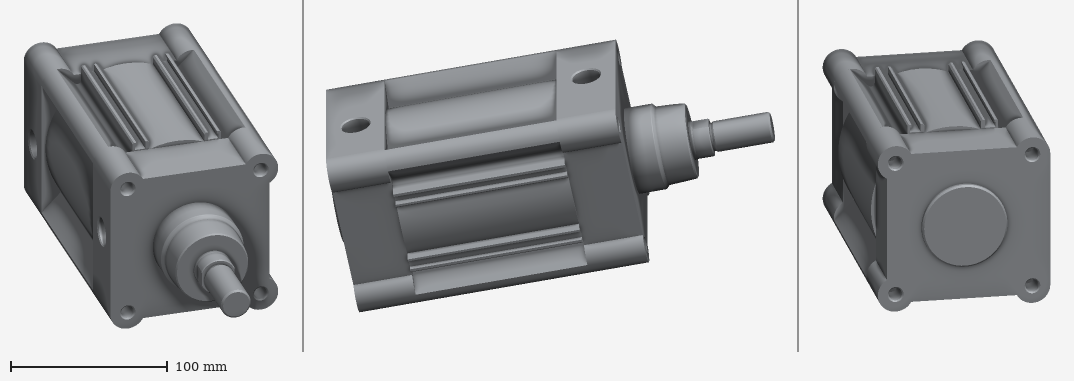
import cadquery as cq
import math

BOSS_HEIGHT = 3.7
CAP_LENGTH = 38.2
TUBE_LENGTH = 111.8
REAR_CAP_END = BOSS_HEIGHT + CAP_LENGTH
TUBE_END = REAR_CAP_END + TUBE_LENGTH
FRONT_CAP_END = TUBE_END + CAP_LENGTH
COLLAR_END = 211.7
NOSE_END = 230.6
FLATS_START = 232.0
SHOULDER_START = 233.0
SHOULDER_END = 243.7
NECK_END = 244.8
THREAD_START = 246.2
ROD_END = 283.0

HALF_SIZE = 56.0
BOLT_OFFSET = 44.5
LOBE_RADIUS = HALF_SIZE - BOLT_OFFSET
CAP_HALF_WIDTH = 50.0

BOLT_HOLE_RADIUS = 4.2
BOLT_HOLE_DEPTH = 17.0
BOLT_HOLE_CHAMFER = 0.8
PORT_RADIUS = 9.0
PORT_DEPTH = 14.2
PORT_CHAMFER = 0.8
PORT_RISE = 6.0
COLLAR_RADIUS = 27.7
BOSS_CHAMFER = 1.0
COLLAR_BLEND_RADIUS = 0.8
NOSE_ROOT_RADIUS = 25.5
NOSE_TIP_RADIUS = 24.3
NOSE_BULGE = 0.3
NOSE_CHAMFER = 0.8

BARREL_RADIUS = 53.2
RIB_WIDTH = 14.5
RIB_HALF_WIDTH = RIB_WIDTH / 2
RIB_FILLET = 1.5
SLOT_FLOOR = 51.0
SLOT_ROOT = 36.8
SLOT_INNER_WALL = (18.5, 21.0)
SLOT_INNER_CHAMFER = 1.0
SLOT_OUTER_WALL = (27.7, 29.5)
LIP_OVERHANG = 0.8
LIP_HEIGHT = 1.7
VALLEY_RADIUS = 2.5

ROD_RADIUS = 12.5
ROD_FLAT_WIDTH = 21.8
SHOULDER_RADIUS = 12.2
SHOULDER_CHAMFER = 0.5
NECK_RADIUS = 9.0
THREAD_RADIUS = 10.0
THREAD_CHAMFER = 1.0

CORNERS = [(y, z) for y in (-BOLT_OFFSET, BOLT_OFFSET) for z in (-BOLT_OFFSET, BOLT_OFFSET)]


def section(x):
    """Workplane across the axis at x, with local axes Y and Z."""
    return cq.Workplane("YZ", origin=(x, 0, 0))


def revolved(outline):
    """Solid of revolution about the X axis from an outline of (x, radius) drawn from the axis."""
    return outline.close().revolve(360, (0, 0, 0), (1, 0, 0))


def mouth_cone(plane, radius, chamfer, depth):
    """Cone that chamfers the mouth of a hole; depth is signed along the plane normal."""
    return plane.circle(radius + chamfer).workplane(offset=depth).circle(radius).loft()


def cap_block(start, port_z):
    """Cap body with four corner lobes, a flush port side at -Y and one port in it."""
    core = section(start).rect(2 * CAP_HALF_WIDTH, 2 * CAP_HALF_WIDTH).extrude(CAP_LENGTH)
    port_side = (
        section(start)
        .center(-HALF_SIZE + LOBE_RADIUS / 2, 0)
        .rect(LOBE_RADIUS, 2 * BOLT_OFFSET)
        .extrude(CAP_LENGTH)
    )
    lobes = section(start).pushPoints(CORNERS).circle(LOBE_RADIUS).extrude(CAP_LENGTH)
    block = core.union(port_side).union(lobes)
    port_axis = cq.Workplane("XZ", origin=(start + CAP_LENGTH / 2, -HALF_SIZE, port_z))
    port = port_axis.circle(PORT_RADIUS).extrude(-PORT_DEPTH)
    port = port.union(mouth_cone(port_axis, PORT_RADIUS, PORT_CHAMFER, -PORT_CHAMFER))
    return block.cut(port)


def cut_bolt_holes(cap, face_x, inward):
    """Chamfered blind holes in the four corners; inward is +1 or -1 along X."""
    for corner in CORNERS:
        plane = section(face_x).center(*corner)
        cap = cap.cut(plane.circle(BOLT_HOLE_RADIUS).extrude(inward * BOLT_HOLE_DEPTH))
        cap = cap.cut(mouth_cone(plane, BOLT_HOLE_RADIUS, BOLT_HOLE_CHAMFER, inward * BOLT_HOLE_CHAMFER))
    return cap


def make_rear_cap():
    """Cap with a low round boss on its outer face."""
    boss = section(0).circle(COLLAR_RADIUS).extrude(BOSS_HEIGHT).faces("<X").chamfer(BOSS_CHAMFER)
    cap = cap_block(BOSS_HEIGHT, -PORT_RISE).union(boss)
    return cut_bolt_holes(cap, BOSS_HEIGHT, 1)


def make_front_cap():
    """Cap with a round collar and a tapering, slightly bulged nose that ends at the rod."""
    blend_run = COLLAR_BLEND_RADIUS * math.sqrt(0.5)
    blend_drop = COLLAR_BLEND_RADIUS - blend_run
    shoulder_drop = COLLAR_RADIUS - blend_drop - NOSE_ROOT_RADIUS
    nose_middle = (
        (COLLAR_END + NOSE_END) / 2,
        (NOSE_ROOT_RADIUS + NOSE_TIP_RADIUS) / 2 + NOSE_BULGE,
    )
    collar_and_nose = revolved(
        cq.Workplane("XY")
        .moveTo(FRONT_CAP_END, 0)
        .lineTo(FRONT_CAP_END, COLLAR_RADIUS)
        .lineTo(COLLAR_END - shoulder_drop - blend_run, COLLAR_RADIUS)
        .tangentArcPoint((blend_run, -blend_drop))
        .lineTo(COLLAR_END, NOSE_ROOT_RADIUS)
        .threePointArc(nose_middle, (NOSE_END - NOSE_CHAMFER, NOSE_TIP_RADIUS))
        .lineTo(NOSE_END, NOSE_TIP_RADIUS - NOSE_CHAMFER)
        .lineTo(NOSE_END, 0)
    )
    cap = cap_block(TUBE_END, PORT_RISE).union(collar_and_nose)
    return cut_bolt_holes(cap, FRONT_CAP_END, -1)


def diagonal_rib():
    """Flat-sided rib from the axis to the round of one corner, before it is turned to that corner."""
    bolt_distance = math.hypot(BOLT_OFFSET, BOLT_OFFSET)
    side_length = bolt_distance + math.sqrt(LOBE_RADIUS**2 - RIB_HALF_WIDTH**2)
    return (
        section(REAR_CAP_END)
        .moveTo(0, -RIB_HALF_WIDTH)
        .lineTo(side_length, -RIB_HALF_WIDTH)
        .threePointArc((bolt_distance + LOBE_RADIUS, 0), (side_length, RIB_HALF_WIDTH))
        .lineTo(0, RIB_HALF_WIDTH)
        .close()
        .extrude(TUBE_LENGTH)
    )


def rib_root_edges(tube):
    """Edges where the ribs leave the barrel on the +Y and -Y sides."""
    angle = math.pi / 4 - math.asin(RIB_HALF_WIDTH / BARREL_RADIUS)
    y = BARREL_RADIUS * math.cos(angle)
    z = BARREL_RADIUS * math.sin(angle)
    x = REAR_CAP_END + TUBE_LENGTH / 2
    edges = cq.Workplane("XY")
    for side in (-1, 1):
        for level in (-1, 1):
            edges = edges.add(tube.edges(cq.NearestToPointSelector((x, side * y, level * z))))
    return edges


def sensor_slot():
    """Two thin walls and the floor between them, running along the +Y, +Z part of the barrel.

    Outside the outer wall a round valley leads tangentially into the side of the corner rib.
    """
    inner_near, inner_far = SLOT_INNER_WALL
    outer_near, outer_far = SLOT_OUTER_WALL
    lip_base = HALF_SIZE - LIP_HEIGHT
    rib_rise = RIB_HALF_WIDTH * math.sqrt(2)
    valley_y = outer_far + VALLEY_RADIUS
    valley_z = valley_y + rib_rise + VALLEY_RADIUS * math.sqrt(2)
    valley_reach = VALLEY_RADIUS * math.sqrt(0.5)
    return (
        section(REAR_CAP_END)
        .moveTo(inner_near, SLOT_ROOT)
        .lineTo(inner_near, HALF_SIZE - SLOT_INNER_CHAMFER)
        .lineTo(inner_near + SLOT_INNER_CHAMFER, HALF_SIZE)
        .lineTo(inner_far, HALF_SIZE)
        .lineTo(inner_far, SLOT_FLOOR)
        .lineTo(outer_near, SLOT_FLOOR)
        .lineTo(outer_near, lip_base)
        .lineTo(outer_near - LIP_OVERHANG, lip_base)
        .lineTo(outer_near - LIP_OVERHANG, HALF_SIZE)
        .lineTo(outer_far - LIP_OVERHANG, HALF_SIZE)
        .lineTo(outer_far, HALF_SIZE - LIP_OVERHANG)
        .lineTo(outer_far, valley_z)
        .threePointArc(
            (valley_y, valley_z - VALLEY_RADIUS),
            (valley_y + valley_reach, valley_z - valley_reach),
        )
        .lineTo(SLOT_ROOT, SLOT_ROOT)
        .close()
        .extrude(TUBE_LENGTH)
    )


def make_tube():
    """Barrel with four diagonal corner ribs and a pair of sensor slots on both Z sides."""
    tube = section(REAR_CAP_END).circle(BARREL_RADIUS).extrude(TUBE_LENGTH)
    rib = diagonal_rib()
    for angle in (45, 135, 225, 315):
        tube = tube.union(rib.rotate((0, 0, 0), (1, 0, 0), angle))
    tube = tube.newObject(rib_root_edges(tube).vals()).fillet(RIB_FILLET)
    slot = sensor_slot()
    mirrored_slot = slot.mirror("XZ")
    for half_turn in (0, 180):
        tube = tube.union(slot.rotate((0, 0, 0), (1, 0, 0), half_turn))
        tube = tube.union(mirrored_slot.rotate((0, 0, 0), (1, 0, 0), half_turn))
    return tube


def make_rod():
    """Rod end with a wrench-flat shoulder, a thread relief neck and a threaded stud."""
    rod = revolved(
        cq.Workplane("XY")
        .moveTo(NOSE_END, 0)
        .lineTo(NOSE_END, ROD_RADIUS)
        .lineTo(FLATS_START, ROD_RADIUS)
        .lineTo(SHOULDER_START, SHOULDER_RADIUS)
        .lineTo(SHOULDER_END - SHOULDER_CHAMFER, SHOULDER_RADIUS)
        .lineTo(SHOULDER_END, SHOULDER_RADIUS - SHOULDER_CHAMFER)
        .lineTo(SHOULDER_END, NECK_RADIUS)
        .lineTo(NECK_END, NECK_RADIUS)
        .lineTo(THREAD_START, THREAD_RADIUS)
        .lineTo(ROD_END - THREAD_CHAMFER, THREAD_RADIUS)
        .lineTo(ROD_END, THREAD_RADIUS - THREAD_CHAMFER)
        .lineTo(ROD_END, 0)
    )
    flat_y = ROD_FLAT_WIDTH / 2
    flat_cut = (
        cq.Workplane("XY")
        .moveTo(FLATS_START, ROD_RADIUS)
        .lineTo(FLATS_START + ROD_RADIUS - flat_y, flat_y)
        .lineTo(SHOULDER_END, flat_y)
        .lineTo(SHOULDER_END, ROD_RADIUS)
        .close()
        .extrude(ROD_RADIUS, both=True)
    )
    return rod.cut(flat_cut).cut(flat_cut.mirror("XZ"))


rear_cap = make_rear_cap()
tube = make_tube()
front_cap = make_front_cap()
rod = make_rod()

result = cq.Compound.makeCompound([body.solids().val() for body in (rear_cap, tube, front_cap, rod)])